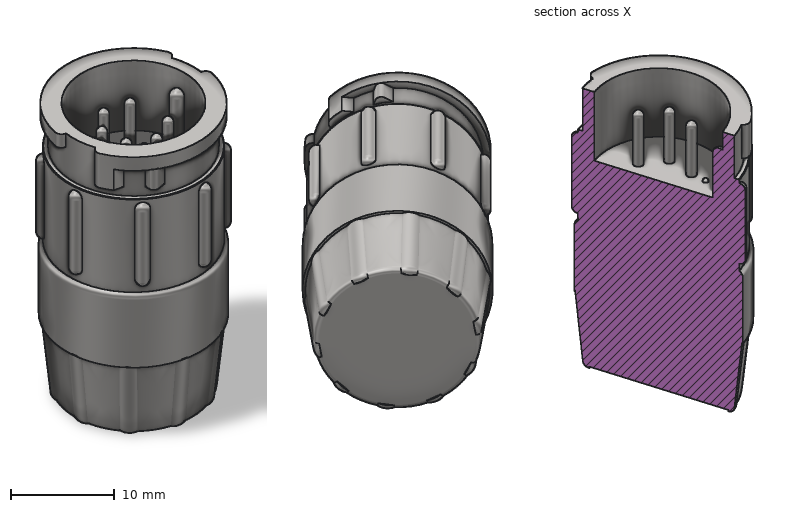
import cadquery as cq
import math

total_height = 33.72
rib_depth = 0.17
grip_base = rib_depth
collar_bottom = 8.8
collar_top = 17.55
sleeve_top = 28.55
flange_bottom = 32.1
lug_bottom = 29.65
socket_floor = 25.4

grip_top_radius = 8.9
collar_radius = 9.17
sleeve_radius = 8.77
neck_radius = 8.25
flange_radius = 9.0
bore_radius = 6.95

grip_taper = math.radians(5.8)
grip_edge_radius = 0.55
grip_rib_count = 10
grip_rib_half_width = 1.0
grip_rib_crown_radius = 1.82
grip_rib_root = 0.35
grip_rib_overlap = 0.35

collar_edge_radius = 0.67
sleeve_edge_chamfer = 0.07

sleeve_rib_count = 8
sleeve_rib_radius = 0.75
overall_width = 18.92
sleeve_rib_bottom = 18.3
sleeve_rib_top = 28.15

lobe_start = 18.0
lug_end = 27.0
lug_foot = 32.9
lobe_edge_radius = 0.75
bayonet_root_radius = 7.75
detent_first_foot = (neck_radius, 47.2)
detent_first_shoulder = (8.77, 49.6)
detent_nose = (8.97, 52.3)
detent_last_shoulder = (8.87, 55.0)
detent_last_foot = (neck_radius, 60.8)

pin_count = 6
pin_radius = 0.55
pin_circle_radius = 3.35
pin_pitch = 54.0
first_pin_angle = 135.0
pin_top = 31.75
key_radius = 0.75
key_offset = 6.6
key_top = 31.63
dot_radius = 0.3
dot_x = -2.0
dot_y = 4.08


def polar(radius, angle):
    """Point at a radius and an angle in degrees from -Y towards +X."""
    return (radius * math.sin(math.radians(angle)), -radius * math.cos(math.radians(angle)))


def around_axis(shape, count):
    """Join equally spaced copies of a shape about Z."""
    copies = shape
    for index in range(1, count):
        copies = copies.union(shape.rotate((0, 0, 0), (0, 0, 1), index * 360 / count))
    return copies


def round_post(x, y, bottom, top, radius):
    """Upright cylinder whose top is a half ball."""
    post = cq.Workplane("XY", origin=(x, y, bottom)).circle(radius).extrude(top - radius - bottom)
    return post.union(cq.Workplane("XY", origin=(x, y, top - radius)).sphere(radius))


def grip_radius_at(height):
    return grip_top_radius - (collar_bottom - height) * math.tan(grip_taper)


def grip_edge_point(angle):
    """Point on the rounded lower edge of the grip, as (radius, height)."""
    center_height = grip_base + grip_edge_radius
    center_radius = grip_radius_at(center_height) - grip_edge_radius / math.cos(grip_taper)
    return (
        center_radius + grip_edge_radius * math.cos(angle),
        center_height + grip_edge_radius * math.sin(angle),
    )


edge_start = grip_edge_point(-grip_taper)
edge_middle = grip_edge_point(-(grip_taper + math.pi / 2) / 2)
edge_end = grip_edge_point(-math.pi / 2)


def turned_body():
    """Grip, collar, sleeve and neck as one revolved profile."""
    collar_arc_offset = collar_edge_radius * (1 - math.sqrt(0.5))
    profile = (
        cq.Workplane("XZ")
        .moveTo(0, grip_base)
        .lineTo(*edge_end)
        .threePointArc(edge_middle, edge_start)
        .lineTo(grip_top_radius, collar_bottom)
        .lineTo(collar_radius, collar_bottom)
        .lineTo(collar_radius, collar_top - collar_edge_radius)
        .threePointArc(
            (collar_radius - collar_arc_offset, collar_top - collar_arc_offset),
            (collar_radius - collar_edge_radius, collar_top),
        )
        .lineTo(neck_radius, collar_top)
        .lineTo(neck_radius, total_height)
        .lineTo(0, total_height)
        .close()
    )
    sleeve = (
        cq.Workplane("XY", origin=(0, 0, collar_bottom))
        .circle(sleeve_radius)
        .extrude(sleeve_top - collar_bottom)
        .faces(">Z")
        .chamfer(sleeve_edge_chamfer)
    )
    return profile.revolve(360, (0, 0, 0), (0, 1, 0)).union(sleeve)


def grip_ribs():
    """Shallow rounded ribs that follow the taper and its rounded lower edge."""
    start_height = collar_bottom + grip_rib_overlap
    start_radius = grip_radius_at(start_height)
    path = (
        cq.Workplane("XZ")
        .moveTo(start_radius, start_height)
        .lineTo(*edge_start)
        .threePointArc(edge_middle, edge_end)
    )
    crown_fall = grip_rib_crown_radius - math.sqrt(grip_rib_crown_radius**2 - grip_rib_half_width**2)
    side_height = rib_depth - crown_fall
    section_plane = cq.Plane(
        origin=(start_radius, 0, start_height),
        xDir=(math.cos(grip_taper), 0, -math.sin(grip_taper)),
        normal=(-math.sin(grip_taper), 0, -math.cos(grip_taper)),
    )
    rib = (
        cq.Workplane(section_plane)
        .moveTo(-grip_rib_root, -grip_rib_half_width)
        .lineTo(side_height, -grip_rib_half_width)
        .threePointArc((rib_depth, 0), (side_height, grip_rib_half_width))
        .lineTo(-grip_rib_root, grip_rib_half_width)
        .close()
        .sweep(path)
    )
    return around_axis(rib.rotate((0, 0, 0), (0, 0, 1), -90), grip_rib_count)


def sleeve_ribs():
    offset = overall_width / 2 - sleeve_rib_radius
    lower_ball = sleeve_rib_bottom + sleeve_rib_radius
    rib = round_post(offset, 0, lower_ball, sleeve_rib_top, sleeve_rib_radius)
    rib = rib.union(cq.Workplane("XY", origin=(offset, 0, lower_ball)).sphere(sleeve_rib_radius))
    return around_axis(rib, sleeve_rib_count)


def raised_sector(start, end, bottom, flat_foot=None):
    """Raised sector on the neck, up to the top face, with rounded ends.

    With a flat_foot angle, the far end is a flat face that meets the neck there.
    """
    center_radius = flange_radius - lobe_edge_radius
    foot_cosine = (center_radius**2 + neck_radius**2 - lobe_edge_radius**2) / (
        2 * center_radius * neck_radius
    )
    foot_angle = math.degrees(math.acos(foot_cosine))

    def rounding_middle(tangent_angle, side):
        center_x, center_y = polar(center_radius, tangent_angle)
        step_x, step_y = polar(lobe_edge_radius, tangent_angle + side * 45)
        return (center_x + step_x, center_y + step_y)

    middle = (start + end) / 2
    outline = (
        cq.Workplane("XY", origin=(0, 0, bottom))
        .moveTo(*polar(bayonet_root_radius, start))
        .lineTo(*polar(neck_radius, start - foot_angle))
        .threePointArc(rounding_middle(start, -1), polar(flange_radius, start))
        .threePointArc(polar(flange_radius, middle), polar(flange_radius, end))
    )
    if flat_foot is None:
        far_foot = polar(neck_radius, end + foot_angle)
        outline = outline.threePointArc(rounding_middle(end, 1), far_foot)
    else:
        outline = outline.lineTo(*polar(neck_radius, flat_foot))
    return (
        outline.lineTo(*polar(bayonet_root_radius, end))
        .threePointArc(polar(bayonet_root_radius, middle), polar(bayonet_root_radius, start))
        .close()
        .extrude(total_height - bottom)
    )


def bayonet():
    """Two flange lobes, each with a stop lug and a small detent below it."""
    lobe = raised_sector(lobe_start, 180 - lobe_start, flange_bottom)
    lug = raised_sector(lobe_start, lug_end, lug_bottom, lug_foot)
    detent = (
        cq.Workplane("XY", origin=(0, 0, lug_bottom))
        .moveTo(*polar(bayonet_root_radius, detent_nose[1]))
        .lineTo(*polar(*detent_first_foot))
        .lineTo(*polar(*detent_first_shoulder))
        .threePointArc(polar(*detent_nose), polar(*detent_last_shoulder))
        .lineTo(*polar(*detent_last_foot))
        .close()
        .extrude(flange_bottom - lug_bottom)
    )
    return around_axis(lobe.union(lug).union(detent), 2)


def socket():
    depth = total_height - socket_floor
    return cq.Workplane("XY", origin=(0, 0, socket_floor)).circle(bore_radius).extrude(depth)


def contacts():
    """Pins, keying post and marker dot standing on the socket floor."""
    root = socket_floor - pin_radius
    parts = round_post(0, key_offset, root, key_top, key_radius)
    for index in range(pin_count):
        angle = math.radians(first_pin_angle + index * pin_pitch)
        x = pin_circle_radius * math.cos(angle)
        y = pin_circle_radius * math.sin(angle)
        parts = parts.union(round_post(x, y, root, pin_top, pin_radius))
    return parts.union(cq.Workplane("XY", origin=(dot_x, dot_y, socket_floor)).sphere(dot_radius))


result = turned_body().union(grip_ribs()).union(sleeve_ribs()).union(bayonet())
result = result.cut(socket()).union(contacts())